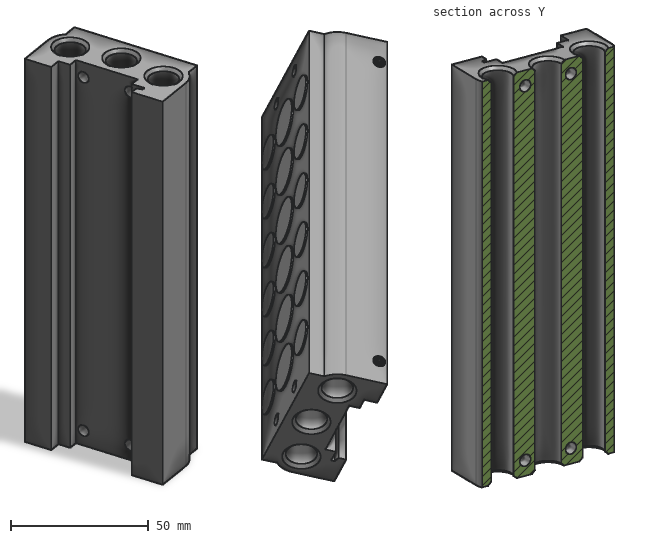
import cadquery as cq
import math

length = 161.0
width = 59.0
body_depth = 29.0
total_depth = 29.6
back_width = 52.5

channel_diameter = 11.5
channel_mouth_diameter = 14.0
side_channel_x = 20.0
side_channel_y = 16.0
middle_channel_y = 19.0

groove_depth = 9.0
groove_half_width = 13.2
step_depth = 5.0
left_step_x = 18.2
right_step_x = 18.5
hook_tip_x = 16.3
hook_root_y = 3.7
hook_tip_y = 2.9

mounting_hole_diameter = 4.5
mounting_hole_x = 10.0
mounting_hole_end_distance = 6.3

screw_diameter = 4.5
screw_face_diameter = 3.5
screw_ring_depth = 0.3
screw_socket_corners = 2.4
screw_socket_depth = 2.0
screw_socket_turn = 15
screw_y = 3.0
screw_end_distance = 10.1

station_count = 6
station_pitch = 23.0
middle_pad_diameter = 17.5
side_pad_diameter = 13.0
side_pad_x = 18.0


def make_body():
    """Extrude the profile, whose rounded shoulders are concentric with the side channels."""
    half_width = width / 2
    half_back = back_width / 2
    shoulder_radius = half_width - side_channel_x
    back_offset = half_back - side_channel_x
    shoulder_angle = math.acos(back_offset / shoulder_radius)
    shoulder_y = side_channel_y + shoulder_radius * math.sin(shoulder_angle)
    arc_mid_x = side_channel_x + shoulder_radius * math.cos(shoulder_angle / 2)
    arc_mid_y = side_channel_y + shoulder_radius * math.sin(shoulder_angle / 2)
    profile = (
        cq.Workplane("XY", origin=(0, 0, -length / 2))
        .moveTo(-half_width, 0)
        .lineTo(-left_step_x, 0)
        .lineTo(-left_step_x, step_depth)
        .lineTo(-groove_half_width, step_depth)
        .lineTo(-groove_half_width, groove_depth)
        .lineTo(groove_half_width, groove_depth)
        .lineTo(groove_half_width, step_depth)
        .lineTo(right_step_x, step_depth)
        .lineTo(right_step_x, hook_root_y)
        .lineTo(hook_tip_x, hook_tip_y)
        .lineTo(hook_tip_x, 0)
        .lineTo(half_width, 0)
        .lineTo(half_width, side_channel_y)
        .threePointArc((arc_mid_x, arc_mid_y), (half_back, shoulder_y))
        .lineTo(half_back, body_depth)
        .lineTo(-half_back, body_depth)
        .lineTo(-half_back, shoulder_y)
        .threePointArc((-arc_mid_x, arc_mid_y), (-half_width, side_channel_y))
        .close()
    )
    return profile.extrude(length)


def make_channel(x, y):
    """Through channel with a 45 degree countersink at both ends, revolved about Z."""
    radius = channel_diameter / 2
    mouth_radius = channel_mouth_diameter / 2
    half_length = length / 2
    sink_z = half_length - (mouth_radius - radius)
    half_section = [
        (0, -half_length),
        (mouth_radius, -half_length),
        (radius, -sink_z),
        (radius, sink_z),
        (mouth_radius, half_length),
        (0, half_length),
    ]
    channel = cq.Workplane("XZ").polyline(half_section).close().revolve(360, (0, 0), (0, 1))
    return channel.translate((x, y, 0))


def make_mounting_holes():
    hole_z = length / 2 - mounting_hole_end_distance
    return (
        cq.Workplane("XZ")
        .rect(2 * mounting_hole_x, 2 * hole_z, forConstruction=True)
        .vertices()
        .circle(mounting_hole_diameter / 2)
        .extrude(-body_depth)
    )


def make_screw_recess(z):
    """Shallow ring around the flush face of a set screw, plus its hexagon socket."""
    face = cq.Workplane("YZ", origin=(-width / 2, screw_y, z))
    ring = face.circle(screw_diameter / 2).circle(screw_face_diameter / 2).extrude(screw_ring_depth)
    socket = (
        face.transformed(rotate=(0, 0, screw_socket_turn))
        .polygon(6, screw_socket_corners)
        .extrude(screw_socket_depth)
    )
    return ring.union(socket)


def make_pads(diameter, x_positions):
    """One raised pad per station at each given X."""
    first_z = -(station_count - 1) / 2 * station_pitch
    centres = [(x, first_z + i * station_pitch) for x in x_positions for i in range(station_count)]
    back = cq.Workplane("XZ", origin=(0, body_depth, 0))
    return back.pushPoints(centres).circle(diameter / 2).extrude(body_depth - total_depth)


result = make_body()
result = result.union(make_pads(middle_pad_diameter, [0]))
result = result.union(make_pads(side_pad_diameter, [-side_pad_x, side_pad_x]))

result = result.cut(make_channel(0, middle_channel_y))
for side in (-1, 1):
    result = result.cut(make_channel(side * side_channel_x, side_channel_y))

result = result.cut(make_mounting_holes())

screw_z = length / 2 - screw_end_distance
for z in (-screw_z, screw_z):
    result = result.cut(make_screw_recess(z))